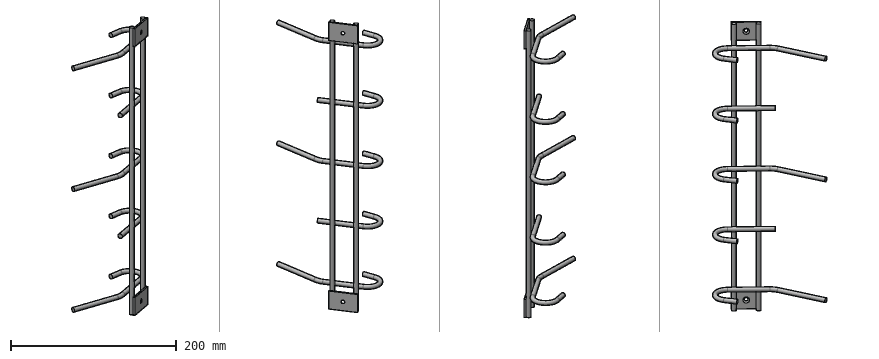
import cadquery as cq
import math


rod_diameter = 6.0
rod_radius = rod_diameter / 2

post_diameter = 6.0
post_radius = post_diameter / 2
post_height = 380.0
post_spacing = 30.0
post_x = rod_radius + post_radius
post_positions = (-post_spacing / 2, post_spacing / 2)

plate_thickness = 2.3
plate_width = post_spacing + post_diameter
plate_height = 24.0
plate_front_x = post_x + post_radius
screw_hole_diameter = 4.0
countersink_diameter = 8.0

hook_count = 5
first_hook_z = 30.0
hook_pitch = (post_height - 2 * first_hook_z) / (hook_count - 1)
hook_top_y = 22.8
crook_radius = 15.5
crook_sweep = 162.0
tip_length = 16.5
long_straight = 51.0
short_straight = 57.8
bend_radius = 21.3
bend_angle = 29.0
leg_length = 64.5


def make_post(y):
    return cq.Workplane("XY").center(post_x, y).circle(post_radius).extrude(post_height)


def make_plate(bottom_z):
    plate = cq.Workplane("XY").box(
        plate_thickness, plate_width, plate_height, centered=(False, True, False)
    )
    hole = (
        cq.Workplane("YZ")
        .center(0, plate_height / 2)
        .circle(countersink_diameter / 2)
        .workplane(offset=plate_thickness)
        .circle(screw_hole_diameter / 2)
        .loft()
    )
    return plate.cut(hole).translate((plate_front_x, 0, bottom_z))


def polar_point(start, distance, angle):
    """Point at a distance from start, at an angle in degrees counter-clockwise from +X."""
    direction = math.radians(angle)
    return (start[0] + distance * math.cos(direction), start[1] + distance * math.sin(direction))


def make_hook(z, has_leg):
    crook_center = (-crook_radius, hook_top_y)
    crook_start = polar_point(crook_center, crook_radius, crook_sweep)
    crook_middle = polar_point(crook_center, crook_radius, crook_sweep / 2)
    tip = polar_point(crook_start, tip_length, crook_sweep + 90)
    straight = long_straight if has_leg else short_straight
    straight_end = (0, hook_top_y - straight)

    path = (
        cq.Workplane("XY", origin=(0, 0, z))
        .moveTo(*tip)
        .lineTo(*crook_start)
        .threePointArc(crook_middle, (0, hook_top_y))
        .lineTo(*straight_end)
    )
    if has_leg:
        bend_center = (-bend_radius, straight_end[1])
        bend_middle = polar_point(bend_center, bend_radius, -bend_angle / 2)
        bend_end = polar_point(bend_center, bend_radius, -bend_angle)
        leg_end = polar_point(bend_end, leg_length, -90 - bend_angle)
        path = path.threePointArc(bend_middle, bend_end).lineTo(*leg_end)

    tip_direction = (crook_start[0] - tip[0], crook_start[1] - tip[1], 0)
    tip_plane = cq.Plane(origin=(*tip, z), xDir=(0, 0, 1), normal=tip_direction)
    return cq.Workplane(tip_plane).circle(rod_radius).sweep(path)


posts = [make_post(y) for y in post_positions]
plates = [make_plate(z) for z in (0, post_height - plate_height)]

hooks = [make_hook(first_hook_z + i * hook_pitch, has_leg=i % 2 == 0) for i in range(hook_count)]

result = cq.Compound.makeCompound([body.val() for body in posts + plates + hooks])